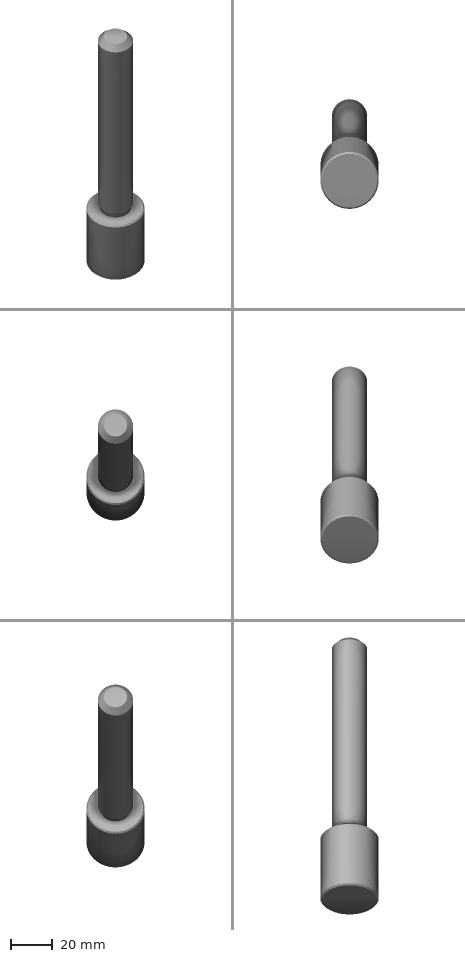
import cadquery as cq

total_length = 145.0
head_diameter = 28.0
head_height = 35.0
head_chamfer = 0.7

neck_diameter = 15.0
neck_height = 3.3

shank_diameter = 17.0
tip_diameter = 11.2
tip_height = 2.9


def cylinder(diameter, bottom, top):
    """Upright cylinder on the Z axis between two heights."""
    return cq.Workplane("XY").workplane(offset=bottom).circle(diameter / 2).extrude(top - bottom)


def tapered_shank(bottom):
    """Shank revolved from its half profile, narrowing to a flat tip."""
    shank_radius = shank_diameter / 2
    return (
        cq.Workplane("XZ")
        .moveTo(0, bottom)
        .lineTo(shank_radius, bottom)
        .lineTo(shank_radius, total_length - tip_height)
        .lineTo(tip_diameter / 2, total_length)
        .lineTo(0, total_length)
        .close()
        .revolve(360, (0, 0, 0), (0, 1, 0))
    )


shank_bottom = head_height + neck_height

head = cylinder(head_diameter, 0, head_height).faces("<Z or >Z").edges().chamfer(head_chamfer)
neck = cylinder(neck_diameter, head_height, shank_bottom)

result = head.union(neck).union(tapered_shank(shank_bottom))